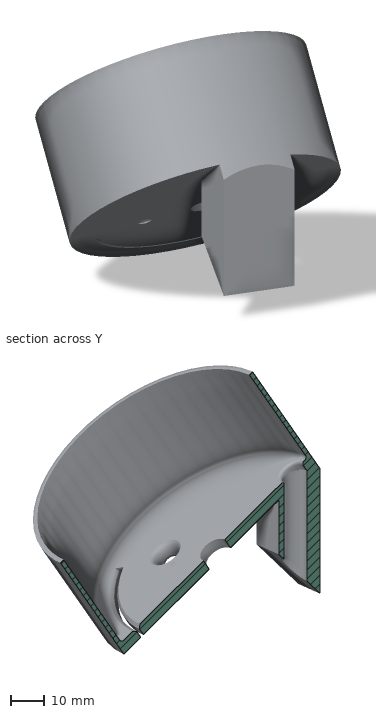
import cadquery as cq
import math

outer_diameter = 85.0
inner_diameter = 82.0
cup_height = 40.05
floor_thickness = 3.8
tilt_angle = 35
edge_radius = 1.0

center_hole_diameter = 9.3
screw_hole_diameter = 4.2
screw_head_diameter = 10.5
countersink_angle = 90
screw_holes_x = -7.5
screw_holes_y = 17.3

slot_radius = 34.4
slot_width = 1.0
slot_chamfer = 1.0
slot_half_angle = 57.5

bracket_depth = 15.0
bracket_width = 24.0
bracket_bottom_z = -17.3

channel_diameter = 8.0
channel_x = 34.6
channel_bend_depth = 2.0

outer_radius = outer_diameter / 2
inner_radius = inner_diameter / 2
tilt = math.radians(tilt_angle)
cup_left_x = -outer_radius * math.cos(tilt) - cup_height * math.sin(tilt)
overall_length = 94.0
bracket_back_x = cup_left_x + overall_length


def tilted(shape):
    """Turn an upright shape so that its +X side rises."""
    return shape.rotate((0, 0, 0), (0, 1, 0), -tilt_angle)


def upright(shape):
    """Undo the tilt."""
    return shape.rotate((0, 0, 0), (0, 1, 0), tilt_angle)


def tilted_point(x, z):
    """Position of an upright point of the XZ plane after the tilt."""
    return (x * math.cos(tilt) - z * math.sin(tilt), x * math.sin(tilt) + z * math.cos(tilt))


def drill_floor(cup):
    floor_top = cq.Workplane("XY").workplane(offset=floor_thickness)
    center_hole = floor_top.circle(center_hole_diameter / 2).extrude(-floor_thickness)
    screw_places = [(screw_holes_x, -screw_holes_y), (screw_holes_x, screw_holes_y)]
    return (
        cup.cut(center_hole)
        .copyWorkplane(floor_top)
        .pushPoints(screw_places)
        .cskHole(screw_hole_diameter, screw_head_diameter, countersink_angle, depth=floor_thickness)
    )


def make_slot():
    """Revolve the slot's funnel-shaped section about the cup axis."""
    half_width = slot_width / 2
    chamfer_bottom = floor_thickness - slot_chamfer
    section = [
        (slot_radius - half_width, 0),
        (slot_radius + half_width, 0),
        (slot_radius + half_width, chamfer_bottom),
        (slot_radius + half_width + slot_chamfer, floor_thickness),
        (slot_radius - half_width - slot_chamfer, floor_thickness),
        (slot_radius - half_width, chamfer_bottom),
    ]
    ring_part = cq.Workplane("XZ").polyline(section).close().revolve(2 * slot_half_angle, (0, 0), (0, 1))
    return ring_part.rotate((0, 0, 0), (0, 0, 1), 180 - slot_half_angle)


def make_bracket_block():
    """Block with a 45 degree lower end, reaching up into the cup."""
    front_x = bracket_back_x - bracket_depth
    profile = [
        (bracket_back_x, bracket_bottom_z),
        (front_x, bracket_bottom_z + bracket_depth),
        (front_x, cup_height),
        (bracket_back_x, cup_height),
    ]
    return cq.Workplane("XZ").polyline(profile).close().extrude(bracket_width / 2, both=True)


def make_body():
    """Upright round body whose outer cylinder runs on below the base to bound the bracket."""
    below_base = 2 * cup_height
    full_height = below_base + cup_height
    cylinder = cq.Workplane("XY").workplane(offset=-below_base).circle(outer_radius).extrude(full_height)
    waste = cq.Workplane("XY").rect(2 * outer_diameter, 2 * outer_diameter).extrude(-2 * below_base)
    return cylinder.cut(waste.cut(upright(make_bracket_block())))


def make_cavity():
    return (
        cq.Workplane("XY")
        .workplane(offset=floor_thickness)
        .circle(inner_radius)
        .extrude(cup_height)
        .faces("<Z")
        .edges()
        .fillet(edge_radius)
    )


def make_channel():
    entry_x, entry_z = tilted_point(channel_x, floor_thickness)
    bend_x, bend_z = tilted_point(channel_x, floor_thickness - channel_bend_depth)
    path = cq.Workplane("XZ").polyline([(entry_x, entry_z), (bend_x, bend_z), (bend_x, bracket_bottom_z)])
    entry = cq.Plane(
        origin=(entry_x, 0, entry_z),
        xDir=(-math.cos(tilt), 0, -math.sin(tilt)),
        normal=(math.sin(tilt), 0, -math.cos(tilt)),
    )
    return cq.Workplane(entry).circle(channel_diameter / 2).sweep(path, transition="right")


def make_channel_mouth():
    """Flared cutter that rounds the channel's edge at the floor."""
    bore_radius = channel_diameter / 2
    mouth_bottom = floor_thickness - edge_radius
    arc_middle = (
        bore_radius + edge_radius * (1 - math.cos(math.pi / 4)),
        mouth_bottom + edge_radius * math.sin(math.pi / 4),
    )
    mouth = (
        cq.Workplane("XZ")
        .moveTo(0, mouth_bottom)
        .lineTo(bore_radius, mouth_bottom)
        .threePointArc(arc_middle, (bore_radius + edge_radius, floor_thickness))
        .lineTo(0, floor_thickness)
        .close()
        .revolve(360, (0, 0), (0, 1))
    )
    return mouth.translate((channel_x, 0, 0))


cup = drill_floor(make_body().cut(make_cavity())).cut(make_slot())
result = tilted(cup).cut(make_channel()).cut(tilted(make_channel_mouth()))